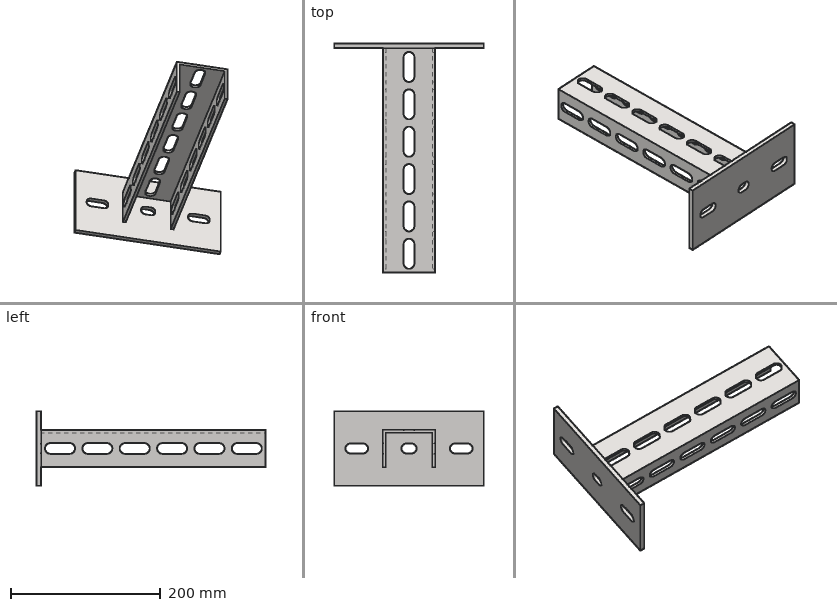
import cadquery as cq

plate_width = 200.0
plate_height = 100.0
plate_thickness = 6.5

plate_slot_width = 13.0
outer_slot_length = 30.0
centre_slot_length = 20.0
outer_slot_offset = 70.0

overall_length = 306.5
arm_length = overall_length - plate_thickness
arm_middle = -arm_length / 2
arm_width = 70.0
arm_height = plate_height / 2
arm_wall = 4.0

arm_slot_count = 6
arm_slot_pitch = 50.0
arm_slot_length = 39.8
arm_slot_width = 14.0


def slot_cutters(plane, centres, length, width, angle):
    """Bars of slot section, running both ways from the given plane."""
    return (
        cq.Workplane(plane)
        .pushPoints(centres)
        .slot2D(length, width, angle)
        .extrude(overall_length, both=True)
    )


def make_plate():
    """Flat plate with a slot near each end and a shorter one in the centre."""
    plate = cq.Workplane("XY").box(plate_width, plate_thickness, plate_height)
    plate = plate.translate((0, plate_thickness / 2, 0))
    outer_centres = [(-outer_slot_offset, 0), (outer_slot_offset, 0)]
    outer_slots = slot_cutters("XZ", outer_centres, outer_slot_length, plate_slot_width, 0)
    centre_slot = slot_cutters("XZ", [(0, 0)], centre_slot_length, plate_slot_width, 0)
    return plate.cut(outer_slots).cut(centre_slot)


def make_channel():
    """U section with sharp corners, open at the bottom and at both ends."""
    block = cq.Workplane("XY").box(arm_width, arm_length, arm_height)
    inside = cq.Workplane("XY").box(arm_width - 2 * arm_wall, arm_length, arm_height)
    channel = block.cut(inside.translate((0, 0, -arm_wall)))
    return channel.translate((0, arm_middle, 0))


def make_arm():
    """Channel with matching rows of slots through the web and both legs."""
    first_slot = arm_middle - arm_slot_pitch * (arm_slot_count - 1) / 2
    slot_places = [first_slot + i * arm_slot_pitch for i in range(arm_slot_count)]
    web_centres = [(0, y) for y in slot_places]
    leg_centres = [(y, 0) for y in slot_places]
    web_slots = slot_cutters("XY", web_centres, arm_slot_length, arm_slot_width, 90)
    leg_slots = slot_cutters("YZ", leg_centres, arm_slot_length, arm_slot_width, 0)
    return make_channel().cut(web_slots).cut(leg_slots)


plate = make_plate()
arm = make_arm()

result = cq.Compound.makeCompound([plate.solids().val(), arm.solids().val()])